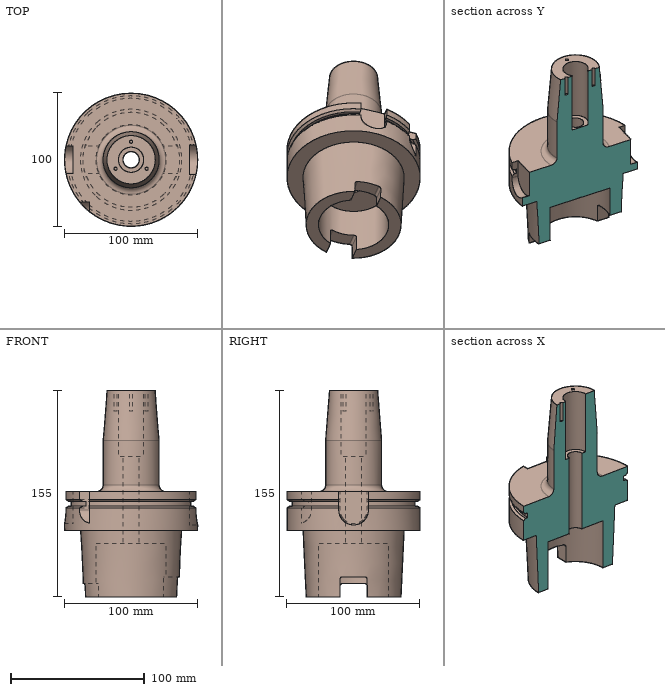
import cadquery as cq

overall_height = 155.0
flange_bottom = 49.8
flange_top = 79.2
groove_bottom = 68.2
groove_top = 71.8
nose_cone_start = 117.3

flange_radius = 49.99
groove_radius = 46.2
lip_radius = 48.0
lip_chamfer_height = 1.4
shank_end_radius = 35.6
shank_root_radius = 38.0
neck_radius = 21.1
neck_fillet = 4.8
nose_radius = 18.1

tool_bore_radius = 9.5
tool_bore_depth = 49.6
passage_radius = 6.0
hollow_radius = 26.4
hollow_depth = 40.3

coolant_hole_radius = 1.16
coolant_circle_radius = 13.5
coolant_hole_depth = 15.5
coolant_hole_count = 3
first_hole_angle = 90

keyway_floor = 43.7
keyway_center_height = 65.3
narrow_keyway_width = 20.3
wide_keyway_width = 22.3

notch_floor = 31.3
notch_wall_y = -31.6

short_slot_height = 10.0
tall_slot_height = 15.2
drive_slot_fillet = 1.9


def turned_body():
    return (
        cq.Workplane("YZ")
        .moveTo(0, 0)
        .lineTo(shank_end_radius, 0)
        .lineTo(shank_root_radius, flange_bottom)
        .lineTo(flange_radius, flange_bottom)
        .lineTo(flange_radius, groove_bottom - lip_chamfer_height)
        .lineTo(lip_radius, groove_bottom)
        .lineTo(groove_radius, groove_bottom)
        .lineTo(groove_radius, groove_top)
        .lineTo(lip_radius, groove_top)
        .lineTo(flange_radius, groove_top + lip_chamfer_height)
        .lineTo(flange_radius, flange_top)
        .lineTo(neck_radius + neck_fillet, flange_top)
        .radiusArc((neck_radius, flange_top + neck_fillet), neck_fillet)
        .lineTo(neck_radius, nose_cone_start)
        .lineTo(nose_radius, overall_height)
        .lineTo(0, overall_height)
        .close()
        .revolve(360, (0, 0, 0), (0, 1, 0))
    )


def cavities():
    hollow = cq.Workplane("XY").circle(hollow_radius).extrude(hollow_depth)
    passage = cq.Workplane("XY").circle(passage_radius).extrude(overall_height)
    nose_face = cq.Workplane("XY").workplane(offset=overall_height)
    tool_bore = nose_face.circle(tool_bore_radius).extrude(-tool_bore_depth)
    coolant_holes = (
        nose_face.polarArray(coolant_circle_radius, first_hole_angle, 360, coolant_hole_count)
        .circle(coolant_hole_radius)
        .extrude(-coolant_hole_depth)
    )
    return hollow.union(passage).union(tool_bore).union(coolant_holes)


def keyway(side, floor, center_y, width):
    """Cutter running outward along X on the given side (-1 or +1)."""
    half = width / 2
    return (
        cq.Workplane("YZ")
        .workplane(offset=side * floor)
        .moveTo(center_y - half, flange_top)
        .lineTo(center_y - half, keyway_center_height)
        .threePointArc(
            (center_y, keyway_center_height - half),
            (center_y + half, keyway_center_height),
        )
        .lineTo(center_y + half, flange_top)
        .close()
        .extrude(side * (flange_radius - floor))
    )


def drive_slot(side, width, height):
    """Slot through one side of the shank wall, with rounded top corners."""
    return (
        cq.Workplane("XY")
        .box(shank_root_radius, width, height, centered=(False, True, False))
        .edges("|X and >Z")
        .fillet(drive_slot_fillet)
        .translate((min(side, 0) * shank_root_radius, 0, 0))
    )


notch_center_y = notch_wall_y - narrow_keyway_width / 2

result = (
    turned_body()
    .cut(cavities())
    .cut(keyway(-1, keyway_floor, 0, narrow_keyway_width))
    .cut(keyway(1, keyway_floor, 0, wide_keyway_width))
    .cut(keyway(-1, notch_floor, notch_center_y, narrow_keyway_width))
    .cut(drive_slot(-1, narrow_keyway_width, short_slot_height))
    .cut(drive_slot(1, narrow_keyway_width, tall_slot_height))
)